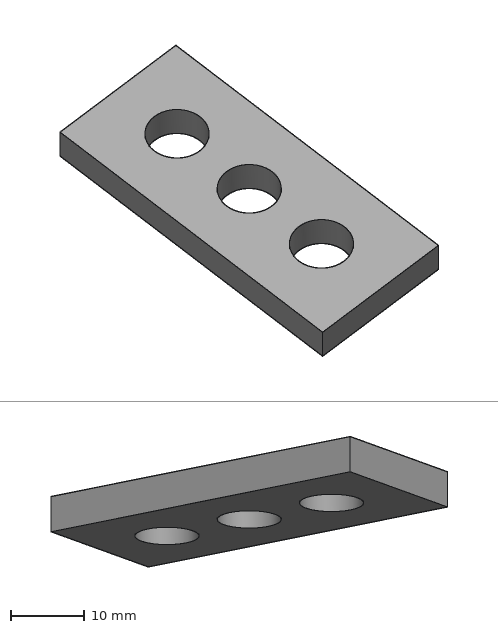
import cadquery as cq

length = 50.8
width = 22.23
thickness = 5.0

hole_diameter = 8.73
hole_count = 3
hole_pitch = 13.97


def make_plate():
    """Flat rectangular plate centred on the origin."""
    return cq.Workplane("XY").box(length, width, thickness)


def drill_hole_row(plate):
    """Drill equally spaced through holes, centred on the top face."""
    return (
        plate.faces(">Z")
        .workplane()
        .rarray(hole_pitch, width, hole_count, 1)
        .hole(hole_diameter)
    )


result = drill_hole_row(make_plate())